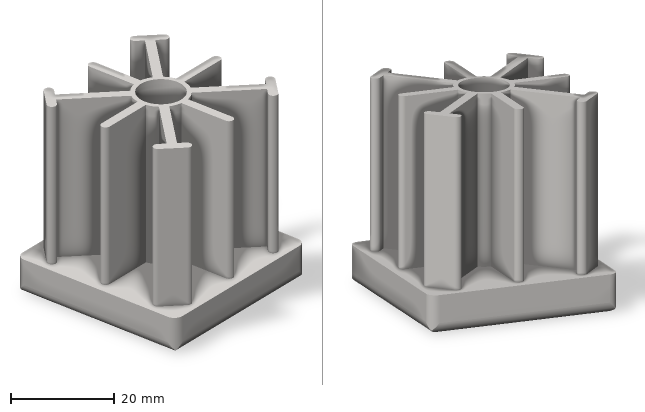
import cadquery as cq

base_side = 40.0
base_height = 8.0
corner_radius = 2.0
bottom_radius = 2.3

total_height = 43.0
tube_outer_diameter = 12.0
tube_bore_diameter = 10.0
base_hole_diameter = 8.4
seat_depth = 0.8

wall = 2.0
straight_rib_reach = 18.0
corner_bar_distance = 21.6
corner_bar_length = 7.7
rib_height = total_height - base_height
quarter_turns = [0, 90, 180, 270]


def make_base():
    """Square plate with rounded bottom edges that meet in mitres at the rounded corners."""
    block = cq.Workplane("XY").rect(base_side, base_side).extrude(base_height)
    block = block.faces("<Z").edges().fillet(bottom_radius)
    rounded_outline = (
        cq.Workplane("XY").rect(base_side, base_side).extrude(base_height)
        .edges("|Z").fillet(corner_radius)
    )
    return block.intersect(rounded_outline)


def make_straight_rib():
    """Rib from the axis along +X, with a round tip."""
    shank = straight_rib_reach - wall / 2
    return (
        cq.Workplane("XY", origin=(0, 0, base_height))
        .moveTo(0, -wall / 2)
        .lineTo(shank, -wall / 2)
        .threePointArc((straight_rib_reach, 0), (shank, wall / 2))
        .lineTo(0, wall / 2)
        .close()
        .extrude(rib_height)
    )


def make_corner_rib():
    """T-shaped rib along +X, ending in a crosswise bar with round ends."""
    plane = cq.Workplane("XY", origin=(0, 0, base_height))
    web = (
        plane.center(corner_bar_distance / 2, 0)
        .rect(corner_bar_distance, wall).extrude(rib_height)
    )
    bar = (
        plane.center(corner_bar_distance, 0)
        .slot2D(corner_bar_length, wall, 90).extrude(rib_height)
    )
    return web.union(bar)


def turned(body, angle):
    return body.rotate((0, 0, 0), (0, 0, 1), angle)


tube = (
    cq.Workplane("XY", origin=(0, 0, base_height))
    .circle(tube_outer_diameter / 2).extrude(rib_height)
)
result = make_base().union(tube)

straight_rib = make_straight_rib()
corner_rib = turned(make_corner_rib(), 45)
for angle in quarter_turns:
    result = result.union(turned(straight_rib, angle))
    result = result.union(turned(corner_rib, angle))

tube_bore = (
    cq.Workplane("XY", origin=(0, 0, base_height))
    .circle(tube_bore_diameter / 2).extrude(rib_height)
)
seat = (
    cq.Workplane("XY", origin=(0, 0, base_height - seat_depth))
    .circle(base_hole_diameter / 2)
    .workplane(offset=seat_depth).circle(tube_bore_diameter / 2)
    .loft()
)
base_hole = cq.Workplane("XY").circle(base_hole_diameter / 2).extrude(base_height)
result = result.cut(tube_bore).cut(seat).cut(base_hole)